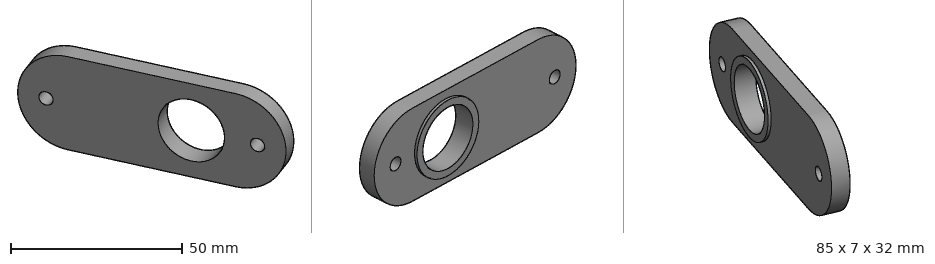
import cadquery as cq

plate_length = 85.0
plate_height = 32.0
plate_thickness = 6.0

bore_diameter = 21.0
ring_diameter = 26.0
ring_height = 1.0
bore_x = 12.5

screw_hole_diameter = 4.5
screw_hole_spacing = 67.0

total_depth = plate_thickness + ring_height


def cylinder_along_y(x, diameter, start_y, length):
    """Cylinder on the plate's long centre line, running towards +Y from start_y."""
    radius = diameter / 2
    return cq.Workplane(cq.Solid.makeCylinder(radius, length, cq.Vector(x, start_y, 0), cq.Vector(0, 1, 0)))


def make_plate():
    """Slab whose two ends are full half circles."""
    return cq.Workplane("XZ").slot2D(plate_length, plate_height).extrude(-plate_thickness)


def add_ring(body):
    """Raised round pad behind the bore, started at the front face so it fuses fully."""
    return body.union(cylinder_along_y(bore_x, ring_diameter, 0, total_depth))


def cut_bore(body):
    """Through bore in plate and ring."""
    return body.cut(cylinder_along_y(bore_x, bore_diameter, 0, total_depth))


def cut_screw_holes(body):
    """Through holes placed symmetrically about the plate centre."""
    for side in (-1, 1):
        hole_x = side * screw_hole_spacing / 2
        body = body.cut(cylinder_along_y(hole_x, screw_hole_diameter, 0, plate_thickness))
    return body


result = cut_screw_holes(cut_bore(add_ring(make_plate())))